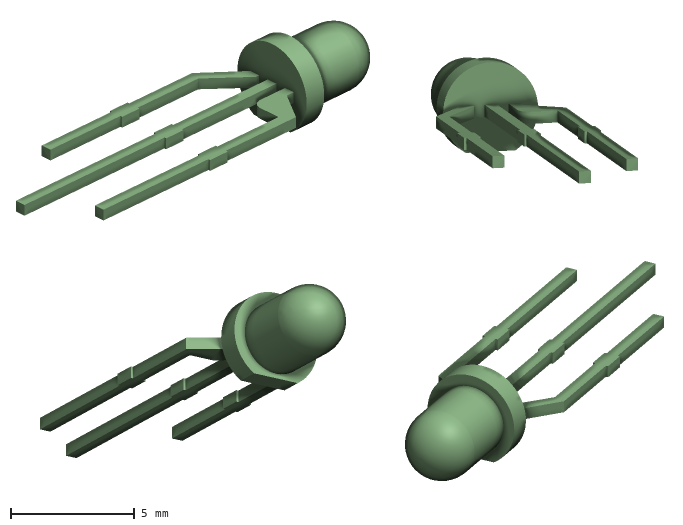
import cadquery as cq

lens_radius = 1.5
lens_length = 5.0
flange_radius = 2.0
flange_thickness = 1.0
flat_distance = 1.7

lead_width = 0.5
lead_thickness = 0.5
lead_pitch = 2.54
root_offset = 1.0
half_width = lead_width / 2
left_end = -10.4
right_end = -12.4
centre_end = -14.4

standoff_width = 0.7
standoff_top = -5.4
standoff_length = 1.0

left_inner_bend_start = -0.2
left_inner_bend_end = -1.95
left_outer_bend_end = -1.8

web_slope_start = -0.4
web_slope_end = -1.4
web_bottom = -1.9
web_corner_radius = 0.5


def make_lens():
    """Domed cylinder on a round flange with one flat."""
    dome_start = lens_length - lens_radius
    dome_height_factor = 0.5 ** 0.5
    dome_mid = (lens_radius * dome_height_factor, dome_start + lens_radius * dome_height_factor)
    body = (
        cq.Workplane("XY")
        .lineTo(flange_radius, 0)
        .lineTo(flange_radius, flange_thickness)
        .lineTo(lens_radius, flange_thickness)
        .lineTo(lens_radius, dome_start)
        .threePointArc(dome_mid, (0, lens_length))
        .close()
        .revolve(360, (0, 0, 0), (0, 1, 0))
    )
    beyond_flat = cq.Workplane("XY").box(
        2 * flange_radius, flange_thickness, flange_radius, centered=(True, False, False)
    ).translate((0, 0, -flat_distance - flange_radius))
    return body.cut(beyond_flat)


def extrude_lead(outline):
    """Extrude a closed XY outline to the lead thickness, centred on Z = 0."""
    return outline.extrude(lead_thickness / 2, both=True)


def add_standoff(lead, centre_x):
    """Widen a lead symmetrically along its standoff stretch."""
    standoff = cq.Workplane("XY").box(standoff_width, standoff_length, lead_thickness)
    return lead.union(standoff.translate((centre_x, standoff_top - standoff_length / 2, 0)))


def make_left_lead():
    """Lead that leaves the flange at a slant, then runs straight."""
    outer_x = -lead_pitch - half_width
    inner_x = -lead_pitch + half_width
    outline = (
        cq.Workplane("XY")
        .moveTo(-root_offset - half_width, 0)
        .lineTo(-root_offset + half_width, 0)
        .lineTo(-root_offset + half_width, left_inner_bend_start)
        .lineTo(inner_x, left_inner_bend_end)
        .lineTo(inner_x, left_end)
        .lineTo(outer_x, left_end)
        .lineTo(outer_x, left_outer_bend_end)
        .close()
    )
    return add_standoff(extrude_lead(outline), -lead_pitch)


def make_centre_lead():
    """Straight lead on the lens axis."""
    outline = cq.Workplane("XY").center(0, centre_end / 2).rect(lead_width, -centre_end)
    return add_standoff(extrude_lead(outline), 0)


def make_right_lead():
    """Lead with a broad web that steps it outwards below the flange."""
    outer_x = lead_pitch + half_width
    inner_x = lead_pitch - half_width
    root_inner_x = root_offset - half_width
    root_outer_x = root_offset + half_width
    outline = (
        cq.Workplane("XY")
        .moveTo(root_inner_x, 0)
        .lineTo(root_outer_x, 0)
        .lineTo(root_outer_x, web_slope_start)
        .lineTo(outer_x, web_slope_end)
        .lineTo(outer_x, right_end)
        .lineTo(inner_x, right_end)
        .lineTo(inner_x, web_bottom)
        .lineTo(root_inner_x + web_corner_radius, web_bottom)
        .radiusArc((root_inner_x, web_bottom + web_corner_radius), web_corner_radius)
        .close()
    )
    return add_standoff(extrude_lead(outline), lead_pitch)


lens = make_lens()
left_lead = make_left_lead()
centre_lead = make_centre_lead()
right_lead = make_right_lead()

result = cq.Compound.makeCompound(
    [lens.val(), left_lead.val(), centre_lead.val(), right_lead.val()]
)